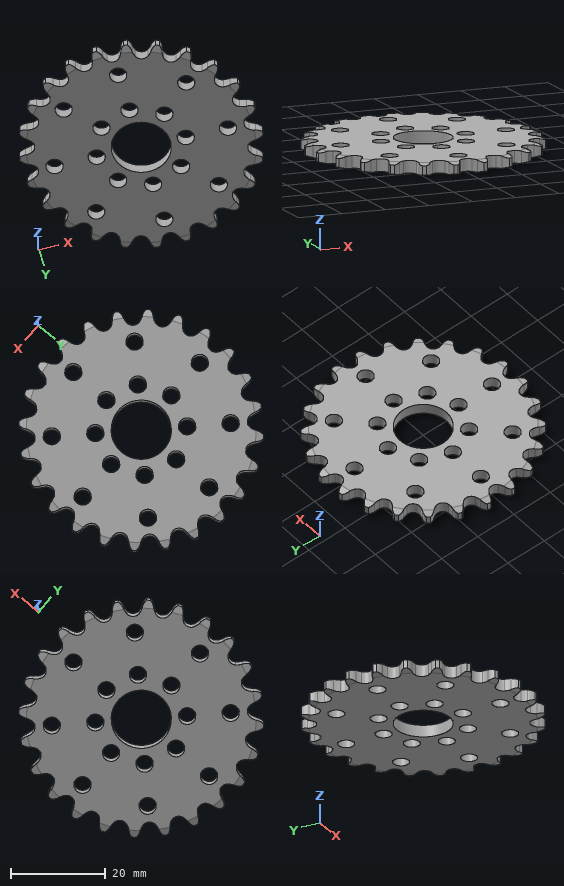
import cadquery as cq
import math


tooth_count = 24
thickness = 2.8
outside_size = 51.7
bore_diameter = 12.7

pitch_radius = 24.3
roller_diameter = 3.3

seat_radius = 1.7
seat_end_angle = math.radians(37.5)
flank_center_offset = 0.8 * roller_diameter
flank_radius = seat_radius + flank_center_offset
tip_center_offset = 1.4 * roller_diameter

bevel_depth = 0.4
bevel_inner_radius = 24.35

hole_diameter = 3.6
hole_count = 8
hole_circle_radii = (9.75, 19.0)

half_pitch_angle = math.pi / tooth_count


def polar(center, radius, angle):
    """Point at a radius and angle from a center."""
    return (center[0] + radius * math.cos(angle), center[1] + radius * math.sin(angle))


def rotate(point, angle):
    """Point turned about the sprocket axis."""
    x, y = point
    cosine = math.cos(angle)
    sine = math.sin(angle)
    return (x * cosine - y * sine, x * sine + y * cosine)


def mirror(point):
    """Point reflected across the YZ plane, onto the other side of the gap."""
    return (-point[0], point[1])


seat_center = (0, pitch_radius)
seat_bottom = polar(seat_center, seat_radius, -math.pi / 2)
seat_end = polar(seat_center, seat_radius, -seat_end_angle)

flank_center = polar(seat_center, flank_center_offset, math.pi - seat_end_angle)
tip_center = polar(seat_center, tip_center_offset, -half_pitch_angle)
center_run = tip_center[0] - flank_center[0]
center_rise = tip_center[1] - flank_center[1]
tip_radius = math.hypot(center_run, center_rise) - flank_radius
flank_end_angle = math.atan2(center_rise, center_run)
flank_mid = polar(flank_center, flank_radius, (flank_end_angle - seat_end_angle) / 2)
flank_end = polar(flank_center, flank_radius, flank_end_angle)

tip_end_y = outside_size / 2
tip_end_x = tip_center[0] - math.sqrt(tip_radius**2 - (tip_end_y - tip_center[1]) ** 2)
tip_end = (tip_end_x, tip_end_y)
tip_end_angle = math.atan2(tip_end_y - tip_center[1], tip_end_x - tip_center[0])
tip_start_angle = flank_end_angle + math.pi
tip_mid = polar(tip_center, tip_radius, (tip_start_angle + tip_end_angle) / 2)
outside_radius = math.hypot(*tip_end)


def sprocket_outline():
    """Closed outline, worked clockwise one gap and one tooth crest at a time."""
    outline = cq.Workplane("XY").moveTo(*mirror(tip_end))
    for index in range(tooth_count):
        angle = -2 * half_pitch_angle * index

        def turned(point):
            return rotate(point, angle)

        outline = (
            outline.threePointArc(turned(mirror(tip_mid)), turned(mirror(flank_end)))
            .threePointArc(turned(mirror(flank_mid)), turned(mirror(seat_end)))
            .threePointArc(turned(seat_bottom), turned(seat_end))
            .threePointArc(turned(flank_mid), turned(flank_end))
            .threePointArc(turned(tip_mid), turned(tip_end))
        )
        crest_mid = rotate((0, outside_radius), angle - half_pitch_angle)
        next_start = rotate(mirror(tip_end), angle - 2 * half_pitch_angle)
        outline = outline.threePointArc(crest_mid, next_start)
    return outline.close()


def bevel_envelope():
    """Turned disc that thins toward the tooth tips."""
    half = thickness / 2
    return (
        cq.Workplane("XZ")
        .moveTo(0, -half)
        .lineTo(bevel_inner_radius, -half)
        .lineTo(outside_radius, bevel_depth - half)
        .lineTo(outside_radius, half - bevel_depth)
        .lineTo(bevel_inner_radius, half)
        .lineTo(0, half)
        .close()
        .revolve(360, (0, 0, 0), (0, 1, 0))
    )


disc = sprocket_outline().extrude(thickness / 2, both=True)
result = disc.intersect(bevel_envelope())

result = result.faces(">Z").workplane(origin=(0, 0, 0)).hole(bore_diameter)
for circle_radius in hole_circle_radii:
    result = (
        result.faces(">Z")
        .workplane(origin=(0, 0, 0))
        .polarArray(circle_radius, 0, 360, hole_count)
        .hole(hole_diameter)
    )